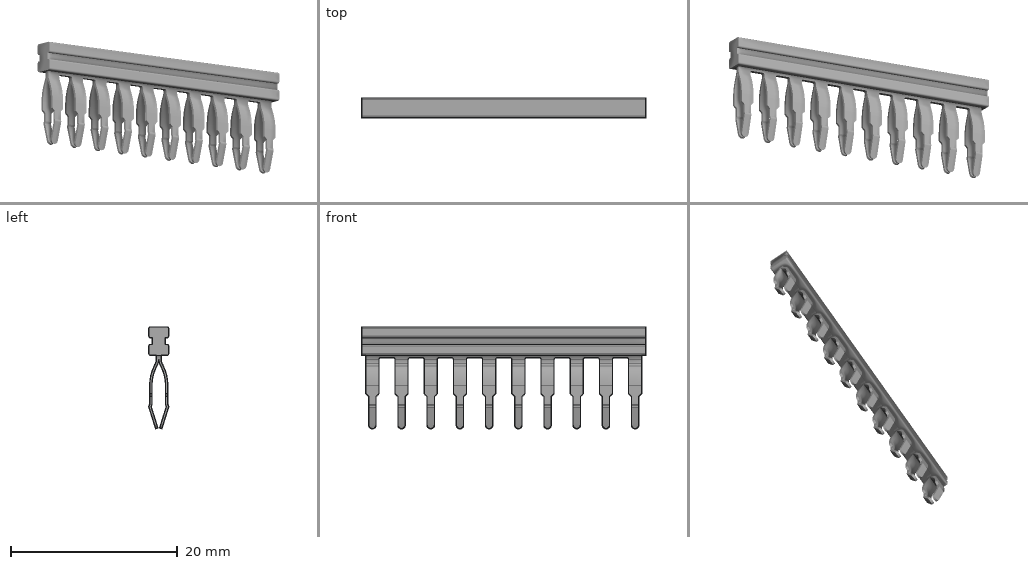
import cadquery as cq
import math


overall_height = 12.22

housing_length = 34.1
housing_width = 2.4
housing_height = 3.4
groove_height = 0.8
groove_depth = 0.4
housing_edge_radius = 0.2

tooth_count = 10
tooth_pitch = 3.5
comb_height = overall_height - housing_height
sheet = 0.3
stem_thickness = 2 * sheet
strip_height = 0.3
strip_corner_radius = 0.2

tooth_width = 1.6
blade_width = 0.9
shoulder_z = -4.6
shoulder_drop = (tooth_width - blade_width) / 2

spread_z = -0.5
flare_radius = 1.1
spread_angle = math.radians(26)
straight_z = -3.6
leg_outer_y = 1.1
elbow_end_z = -6.25
elbow_outer_y = housing_width / 2
elbow_radius = sheet
blade_tilt = math.radians(17.5)

comb_length = (tooth_count - 1) * tooth_pitch + tooth_width


def tooth_x(index):
    return (index - (tooth_count - 1) / 2) * tooth_pitch


def make_housing():
    bar = cq.Workplane("XY").box(
        housing_length, housing_width, housing_height, centered=(True, True, False)
    )
    for side in (-1, 1):
        groove = cq.Workplane("XY").box(housing_length, 2 * groove_depth, groove_height)
        bar = bar.cut(groove.translate((0, side * housing_width / 2, housing_height / 2)))
    return bar.edges("|X").edges("<Y or >Y").fillet(housing_edge_radius)


def leg_profile():
    """Upper leg on the +Y side, from the stem down to the end of the elbow."""
    rise = spread_z - straight_z
    shift = leg_outer_y - sheet
    sine = math.sin(spread_angle)
    cosine = math.cos(spread_angle)
    rise_left = rise - flare_radius * sine
    shift_left = shift - flare_radius * (1 - cosine)
    return_radius = (rise_left * sine - shift_left * cosine) / (1 - cosine)

    def flare_point(radius, angle):
        center_y = sheet + flare_radius
        return (center_y - radius * math.cos(angle), spread_z - radius * math.sin(angle))

    def return_point(radius, angle):
        center_y = leg_outer_y - return_radius
        return (center_y + radius * math.cos(angle), straight_z + radius * math.sin(angle))

    elbow_y = elbow_outer_y - elbow_radius
    elbow_z = elbow_end_z + elbow_radius * math.sin(blade_tilt)
    elbow_start_angle = math.acos((leg_outer_y - elbow_y) / elbow_radius)

    def elbow_point(angle):
        return (elbow_y + elbow_radius * math.cos(angle), elbow_z + elbow_radius * math.sin(angle))

    elbow_start = elbow_point(elbow_start_angle)
    inner_flare = flare_radius + sheet
    inner_return = return_radius - sheet
    inner_y = leg_outer_y - sheet
    half = spread_angle / 2
    return (
        cq.Workplane("YZ")
        .moveTo(0, spread_z)
        .lineTo(sheet, spread_z)
        .threePointArc(flare_point(flare_radius, half), flare_point(flare_radius, spread_angle))
        .lineTo(*return_point(return_radius, spread_angle))
        .threePointArc(return_point(return_radius, half), (leg_outer_y, straight_z))
        .lineTo(*elbow_start)
        .threePointArc(elbow_point(0), elbow_point(-blade_tilt))
        .lineTo(elbow_y, elbow_z)
        .lineTo(inner_y, elbow_start[1])
        .lineTo(inner_y, straight_z)
        .threePointArc(return_point(inner_return, half), return_point(inner_return, spread_angle))
        .lineTo(*flare_point(inner_flare, spread_angle))
        .threePointArc(flare_point(inner_flare, half), (0, spread_z))
        .close()
    )


def tooth_outline():
    """Tooth seen along Y: full width at the top, stepping in to the blade width."""
    half_tooth = tooth_width / 2
    half_blade = blade_width / 2
    blade_top_z = shoulder_z - shoulder_drop
    outline = (
        cq.Workplane("XZ")
        .moveTo(-half_tooth, 0)
        .lineTo(half_tooth, 0)
        .lineTo(half_tooth, shoulder_z)
        .lineTo(half_blade, blade_top_z)
        .lineTo(half_blade, -comb_height)
        .lineTo(-half_blade, -comb_height)
        .lineTo(-half_blade, blade_top_z)
        .lineTo(-half_tooth, shoulder_z)
        .close()
    )
    return outline.extrude(housing_width, both=True)


def make_blade():
    """Flat lower end of the +Y leg, tilted inward and rounded at its tip."""
    outward = cq.Vector(0, math.cos(blade_tilt), -math.sin(blade_tilt))
    elbow_end_y = elbow_outer_y - elbow_radius * (1 - math.cos(blade_tilt))
    outer_plane = cq.Plane(origin=(0, elbow_end_y, elbow_end_z), xDir=(-1, 0, 0), normal=outward)
    length = (comb_height + elbow_end_z) / math.cos(blade_tilt)
    half_blade = blade_width / 2
    return (
        cq.Workplane(outer_plane)
        .moveTo(-half_blade, 0)
        .lineTo(half_blade, 0)
        .lineTo(half_blade, half_blade - length)
        .threePointArc((0, -length), (-half_blade, half_blade - length))
        .close()
        .extrude(-sheet)
    )


def make_leg_pair():
    upper = leg_profile().extrude(tooth_width / 2, both=True)
    leg = upper.intersect(tooth_outline()).union(make_blade())
    return leg.union(leg.mirror("XZ"))


def make_stem():
    """Long plate under the housing, notched with rounded corners between the teeth."""
    stem = cq.Workplane("XY").box(comb_length, stem_thickness, -spread_z)
    stem = stem.translate((0, 0, spread_z / 2))
    gap = tooth_pitch - tooth_width
    notch = cq.Workplane("XY").box(gap, stem_thickness, -2 * spread_z, centered=(True, True, False))
    notch = notch.edges("|Y and >Z").fillet(strip_corner_radius)
    notch_z = 2 * spread_z - strip_height
    for index in range(tooth_count - 1):
        stem = stem.cut(notch.translate((tooth_x(index + 0.5), 0, notch_z)))
    return stem


def make_comb():
    comb = make_stem()
    legs = make_leg_pair()
    for index in range(tooth_count):
        comb = comb.union(legs.translate((tooth_x(index), 0, 0)))
    return comb


housing = make_housing()
comb = make_comb()
result = cq.Compound.makeCompound([*housing.solids().vals(), *comb.solids().vals()])